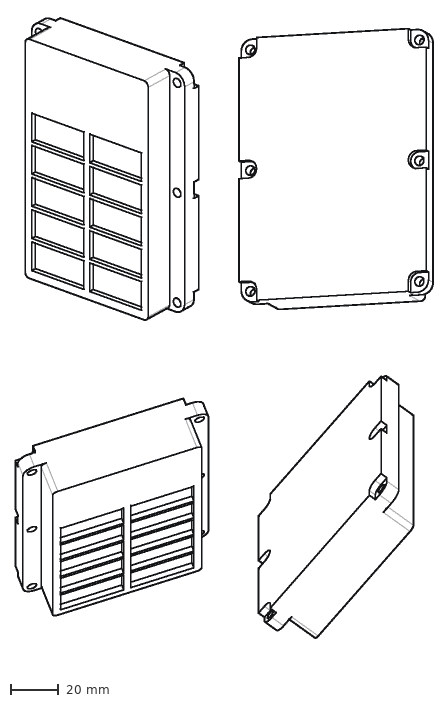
import cadquery as cq

width = 82.8
depth = 23.88
height = 112.2

flange_thickness = 9.55
flange_corner_radius = 5.05
body_width = 66.6
body_corner_radius = 2.3

hole_diameter = 4.0
hole_side_inset = 4.05
hole_end_inset = 4.55
hole_x = width / 2 - hole_side_inset
hole_z = height / 2 - hole_end_inset

notch_radius = 3.8
notch_depth = 3.2

pocket_columns = 2
pocket_rows = 5
pocket_width = 28.1
pocket_height = 13.4
pocket_depth = 2.45
column_pitch = 31.3
row_pitch = 15.1
bottom_margin = 4.1

front_y = -depth / 2
back_y = depth / 2


def block(size_x, size_z, y_start, y_end, center_x=0, center_z=0):
    """Box of the given X and Z size spanning y_start to y_end."""
    size_y = y_end - y_start
    center = (center_x, (y_start + y_end) / 2, center_z)
    return cq.Workplane("XY").box(size_x, size_y, size_z).translate(center)


def make_housing():
    """Wide flange with the narrower body standing in front of it."""
    flange = block(width, height, back_y - flange_thickness, back_y)
    flange = flange.edges("|Y").fillet(flange_corner_radius)
    body = block(body_width, height, front_y, back_y)
    body = body.edges("|Y").fillet(body_corner_radius)
    return flange.union(body)


def make_hole(x, z):
    """Through cylinder along Y."""
    hole = cq.Workplane("XZ", origin=(x, back_y, z)).circle(hole_diameter / 2)
    return hole.extrude(depth)


def make_notch(side, end):
    """Notch around one hole, open to the flange side.

    side is -1 or 1 for the X side; end is -1, 0 or 1 for the lower,
    middle or upper hole. Corner notches are also open at the Z end.
    """
    x = side * hole_x
    z = end * hole_z
    y_start = back_y - notch_depth
    round_end = cq.Workplane("XZ", origin=(x, back_y, z)).circle(notch_radius).extrude(notch_depth)
    to_side = block(
        hole_side_inset, 2 * notch_radius, y_start, back_y, x + side * hole_side_inset / 2, z
    )
    notch = round_end.union(to_side)
    if end == 0:
        return notch

    inner_x = x - side * notch_radius
    outer_x = side * width / 2
    to_end = block(
        abs(outer_x - inner_x), hole_end_inset, y_start, back_y,
        (inner_x + outer_x) / 2, z + end * hole_end_inset / 2,
    )
    return notch.union(to_end)


def make_pockets():
    """Grid of pockets, centred in X and stacked up from the bottom margin."""
    pockets = cq.Workplane("XY")
    lowest_z = -height / 2 + bottom_margin + pocket_height / 2
    for column in range(pocket_columns):
        x = (column - (pocket_columns - 1) / 2) * column_pitch
        for row in range(pocket_rows):
            z = lowest_z + row * row_pitch
            pocket = block(pocket_width, pocket_height, front_y, front_y + pocket_depth, x, z)
            pockets = pockets.add(pocket)
    return pockets.combine()


result = make_housing().cut(make_pockets())
for side in (-1, 1):
    for end in (-1, 0, 1):
        result = result.cut(make_hole(side * hole_x, end * hole_z))
        result = result.cut(make_notch(side, end))